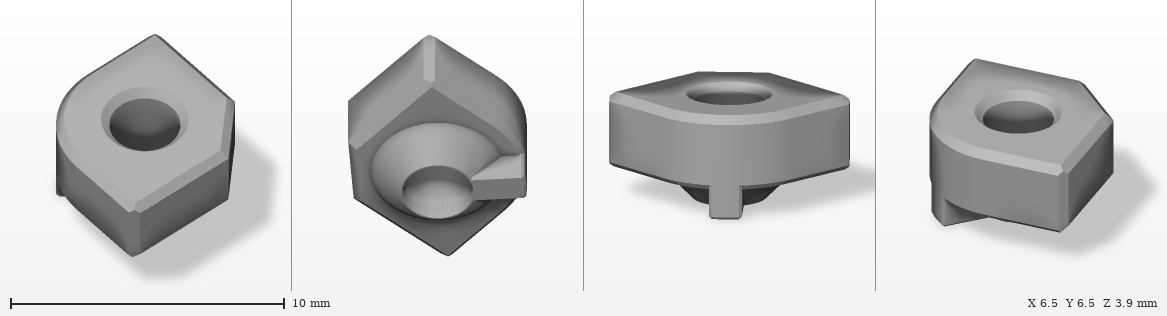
import cadquery as cq
import math

side = 6.5
half = side / 2
total_height = 3.9
boss_height = 1.1
plate_height = total_height - boss_height
corner_cut = 2.0
edge_bevel = 0.3
lower_bevel = 0.2

hole_diameter = 2.6
boss_top_radius = 2.45
boss_bottom_radius = boss_top_radius - boss_height

key_width = 1.2
key_bevel = 0.1
key_angle = 225.0
key_root_height = plate_height / 2


def make_plate():
    cut_start = half - corner_cut
    round_middle = -half * math.sqrt(0.5)
    plate = (
        cq.Workplane("XY")
        .moveTo(0, -half)
        .lineTo(half, -half)
        .lineTo(half, cut_start)
        .lineTo(cut_start, half)
        .lineTo(-half, half)
        .lineTo(-half, 0)
        .threePointArc((round_middle, round_middle), (0, -half))
        .close()
        .extrude(plate_height)
    )
    plate = plate.faces(">Z").edges().chamfer(edge_bevel)
    plate = plate.faces("<Z").edges().chamfer(lower_bevel)
    return plate.intersect(make_bevel_envelope())


def make_bevel_envelope():
    """Oversized towards -X -Y, so it only trims the +X and +Y lower edges and two upright corners."""
    cut_start = half - corner_cut
    block = (
        cq.Workplane("XY")
        .polyline([(-side, -side), (half, -side), (half, cut_start), (cut_start, half), (-side, half)])
        .close()
        .extrude(plate_height)
    )
    block = block.faces("<Z").edges(">X or >Y or >(1,1,0)").chamfer(edge_bevel)
    bevelled_square = (
        cq.Workplane("XY")
        .rect(side, side)
        .extrude(plate_height)
        .edges("|Z")
        .chamfer(edge_bevel)
    )
    return block.intersect(bevelled_square)


def make_boss():
    cone = cq.Solid.makeCone(boss_bottom_radius, boss_top_radius, boss_height)
    return cq.Workplane(obj=cone.translate(cq.Vector(0, 0, -boss_height)))


def make_key():
    key_height = boss_height + key_root_height
    bar = (
        cq.Workplane("XY", origin=(0, 0, -boss_height))
        .box(side, key_width, key_height, centered=(False, True, False))
    )
    outer_wall = cq.Workplane("XY", origin=(0, 0, -boss_height)).circle(half).extrude(key_height)
    key = bar.intersect(outer_wall)
    key = key.edges("not (>Z or <X)").chamfer(key_bevel)
    return key.rotate((0, 0, 0), (0, 0, 1), key_angle)


def make_hole():
    hole_radius = hole_diameter / 2
    bore = cq.Workplane("XY", origin=(0, 0, -boss_height)).circle(hole_radius).extrude(total_height)
    mouth = cq.Solid.makeCone(hole_radius, hole_radius + edge_bevel, edge_bevel)
    return bore.union(cq.Workplane(obj=mouth.translate(cq.Vector(0, 0, plate_height - edge_bevel))))


result = make_plate().union(make_boss()).union(make_key()).cut(make_hole())